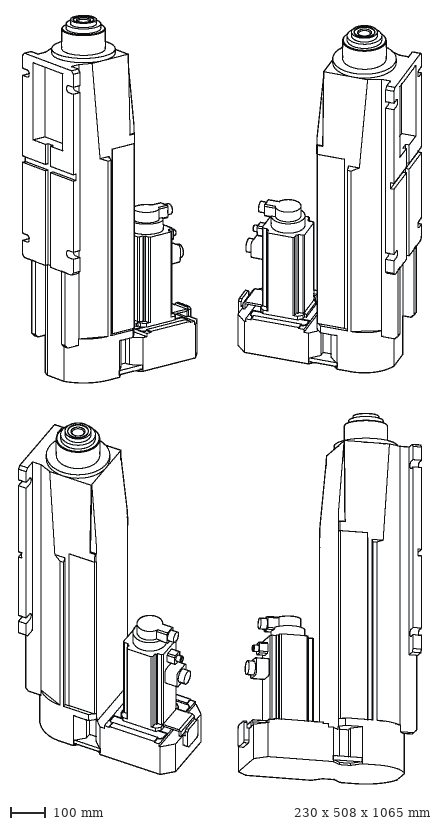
import cadquery as cq

total_height = 1065.0
body_top = 964.0
drum_top = 133.0
gearbox_top = 102.0
motor_base = 124.0
motor_top = 381.0

drum_radius = 111.0
drum_front = 104.0
drum_corner = 17.0

body_back = 111.0
body_back_top = 92.0
body_corner = 4.0
neck_half_width = 76.0
neck_front = 80.0
taper_foot = 673.0
taper_half_width_top = 92.0
taper_half_width_foot = 101.0
taper_runout = 11.0
back_slope_foot = 745.0
side_rib_back = 12.0
panel_front = 25.0
panel_top = 692.0
panel_half_width = 100.0
corner_step_foot = 721.0
corner_step_depth = 4.0

plate_width = 230.0
plate_front = 133.0
plate_thickness = 26.0
plate_bottom = 345.0
plate_corner = 9.0
groove_depth = 11.0
groove_width = 22.0
cross_groove_height = 19.0
cross_groove_z = 641.0
pocket_width = 132.0
pocket_bottom = 711.0
pocket_top = 945.0
pocket_depth = 44.0
slot_radius = 11.0
slot_length = 31.0
slot_levels = (406.0, 905.0)

leg_thickness = 17.0
leg_front = 131.0
leg_bottom = 114.0
leg_chamfer = 10.0

bushing_radius = 92.0
bushing_top = 977.0
rod_radius = 63.0
rod_edge = 2.0
rod_shoulder = 1038.0
collar_radius = 50.0
collar_top = 1052.0
tip_radius = 37.0
tip_recess_radius = 30.0
tip_recess_depth = 2.0
tip_hole_radius = 17.0
tip_hole_edge = 3.0
tip_hole_depth = 32.0

gearbox_half_width = 111.0
gearbox_back = 360.0
gearbox_back_corner = 33.0
waist_half_width = 83.0
waist_front = 44.0
waist_back = 131.0
waist_top = 111.0
waist_step_half_width = 64.0
shelf_bottom = 6.0
shelf_top = 19.0
shelf_inset = 3.0

seat_front = 145.0
seat_back = 324.0
seat_top = 112.0
rail_width = 21.0
rail_length = 147.0
rail_height = 3.0
seat_pocket_inner = 56.0
seat_pocket_margin = 3.0
seat_pocket_depth = 2.0
seat_pocket_corner = 9.0

motor_y = 234.0
motor_half_width = 65.0
motor_flange_corner = 12.0
groove_reach = 22.0
groove_mouth = 4.0
groove_inner_edge = 5.0
cap_radius = 49.0
cap_top = 412.0
encoder_radius = 37.0
encoder_top = 444.0

encoder_plug_half_width = 19.0
encoder_plug_back = 300.0
encoder_plug_edge = 4.0
encoder_socket_radius = 16.0
encoder_socket_back = 320.0
signal_z = 350.0
signal_half_width = 16.0
signal_edge = 4.0
signal_back = 324.0
signal_socket_radius = 10.0
signal_socket_back = 340.0
signal_socket_edge = 2.0
power_z = 291.0
power_width = 58.0
power_height = 52.0
power_edge = 10.0
power_back = 338.0
power_socket_radius = 20.0
power_socket_back = 357.0

strap_half_width = 42.0
strap_front = 163.0
strap_back = 358.0
strap_top = 126.0
strap_thickness = 6.0
tag_half_width = 32.0
tag_back = 375.0
tag_front = 366.0
tag_bottom = 60.0
tag_top = 125.0
tag_corner = 6.0


def centred_box(half_width, front, back, bottom, top):
    """A box centred on X = 0, from front to back along Y."""
    return cq.Workplane("XY").box(
        2 * half_width, back - front, top - bottom, centered=(True, False, False)
    ).translate((0, front, bottom))


def vertical_prism(points, bottom, top):
    """A plan outline raised from one level to another."""
    return cq.Workplane("XY", origin=(0, 0, bottom)).polyline(points).close().extrude(top - bottom)


def cylinder(radius, bottom, top, y=0.0):
    """An upright cylinder."""
    return cq.Workplane("XY", origin=(0, y, bottom)).circle(radius).extrude(top - bottom)


def both_sides(solid):
    """A solid together with its mirror image across X = 0."""
    return solid.union(solid.mirror("YZ"))


def mirrored_outline(right_half):
    """A closed outline from its right half, listed from front to back."""
    return right_half + [(-x, y) for x, y in reversed(right_half)]


def along_y(z, front):
    """A sketch plane square to Y, with its centre on X = 0."""
    return cq.Workplane("XZ", origin=(0, front, z))


def socket(radius, z, front, back):
    """A round connector end pointing backwards."""
    return along_y(z, front).circle(radius).extrude(front - back)



def make_drum(height):
    """The flat-fronted round foot, from Z = 0 up to a height."""
    flat_half_width = (drum_radius**2 - drum_front**2) ** 0.5
    bend = drum_radius * 0.5**0.5
    corner_y = body_back - drum_corner
    return (
        cq.Workplane("XY")
        .moveTo(-flat_half_width, -drum_front)
        .lineTo(flat_half_width, -drum_front)
        .threePointArc((bend, -bend), (drum_radius, 0))
        .lineTo(drum_radius, corner_y)
        .lineTo(drum_radius - drum_corner, body_back)
        .lineTo(drum_corner - drum_radius, body_back)
        .lineTo(-drum_radius, corner_y)
        .lineTo(-drum_radius, 0)
        .threePointArc((-bend, -bend), (-flat_half_width, -drum_front))
        .close()
        .extrude(height)
    )


def taper_cutter():
    """Slopes one side of the body inwards towards the top, for every Y."""
    outside = drum_radius + 11
    profile = [
        (taper_half_width_top, body_top),
        (taper_half_width_foot, taper_foot),
        (taper_half_width_foot + taper_runout, taper_foot - taper_runout),
        (outside, taper_foot - taper_runout),
        (outside, body_top),
    ]
    depth = plate_front + body_back
    return cq.Workplane("XZ", origin=(0, body_back, 0)).polyline(profile).close().extrude(depth)


def corner_step_cutter():
    """Sets the tapered side in along its back edge."""
    lean = (taper_half_width_foot - taper_half_width_top) / (body_top - taper_foot)
    foot_x = taper_half_width_top + lean * (body_top - corner_step_foot) - corner_step_depth
    profile = [
        (taper_half_width_top - corner_step_depth, body_top),
        (foot_x, corner_step_foot),
        (drum_radius, corner_step_foot),
        (drum_radius, body_top),
    ]
    depth = body_back - body_back_top
    return cq.Workplane("XZ", origin=(0, body_back, 0)).polyline(profile).close().extrude(depth)


def back_slope_cutter():
    """Leans the back of the body forwards towards the top."""
    profile = [(body_back, back_slope_foot), (body_back_top, body_top), (body_back, body_top)]
    return cq.Workplane("YZ").polyline(profile).close().extrude(drum_radius, both=True)


def make_tall_body():
    strip = taper_half_width_foot
    plan = mirrored_outline([
        (neck_half_width, -plate_front + plate_thickness),
        (neck_half_width, -neck_front),
        (drum_radius, 0),
        (drum_radius, side_rib_back),
        (strip, side_rib_back),
        (strip, body_back - body_corner),
        (strip - body_corner, body_back),
    ])
    body = vertical_prism(plan, drum_top, body_top)
    panel = vertical_prism(
        [
            (panel_half_width, panel_front),
            (strip, panel_front),
            (strip, body_back),
            (panel_half_width - body_corner, body_back),
            (panel_half_width, body_back - body_corner),
        ],
        drum_top,
        panel_top,
    )
    for cutter in (taper_cutter(), corner_step_cutter(), panel):
        body = body.cut(both_sides(cutter))
    return body.cut(back_slope_cutter())


def make_mounting_plate():
    height = body_top - plate_bottom
    middle_z = (body_top + plate_bottom) / 2
    plate = (
        along_y(middle_z, plate_thickness - plate_front)
        .rect(plate_width, height)
        .extrude(plate_thickness)
        .edges("|Y")
        .chamfer(plate_corner)
    )
    slot_centre = plate_width / 2 - slot_length + slot_radius
    for z in slot_levels:
        end = along_y(z, plate_thickness - plate_front).center(slot_centre, 0)
        slot = end.circle(slot_radius).extrude(plate_thickness)
        mouth = end.center(slot_length / 2, 0).rect(slot_length, 2 * slot_radius).extrude(plate_thickness)
        plate = plate.cut(both_sides(slot.union(mouth)))
    return plate


def plate_recess():
    """The pocket and the crossing grooves in the mounting face."""
    front = -plate_front
    pocket = centred_box(pocket_width / 2, front, front + pocket_depth, pocket_bottom, pocket_top)
    groove = centred_box(groove_width / 2, front, front + groove_depth, plate_bottom, pocket_bottom)
    cross_bottom = cross_groove_z - cross_groove_height / 2
    cross = centred_box(
        plate_width / 2, front, front + groove_depth, cross_bottom, cross_bottom + cross_groove_height
    )
    return pocket.union(groove).union(cross)


def make_legs():
    """Two ribs that run down in front of the drum."""
    profile = [
        (-neck_front, leg_bottom),
        (leg_chamfer - leg_front, leg_bottom),
        (-leg_front, leg_bottom + leg_chamfer),
        (-leg_front, plate_bottom),
        (-neck_front, plate_bottom),
    ]
    leg = (
        cq.Workplane("YZ", origin=(neck_half_width - leg_thickness, 0, 0))
        .polyline(profile)
        .close()
        .extrude(leg_thickness)
    )
    return both_sides(leg)


def leg_gap():
    """The space between the legs, in front of the drum's round outline."""
    inner = neck_half_width - leg_thickness
    return centred_box(inner, -plate_front, 0, drum_top, plate_bottom).cut(make_drum(plate_bottom))


def seat_pocket():
    """The shallow pocket beside the motor, with its outer corners cut off."""
    outer = gearbox_half_width - rail_width
    front = seat_front + seat_pocket_margin
    back = seat_back - seat_pocket_margin
    plan = [
        (seat_pocket_inner, front),
        (outer - seat_pocket_corner, front),
        (outer, front + seat_pocket_corner),
        (outer, back - seat_pocket_corner),
        (outer - seat_pocket_corner, back),
        (seat_pocket_inner, back),
    ]
    return vertical_prism(plan, seat_top - seat_pocket_depth, seat_top)


def make_gearbox():
    corner_y = gearbox_back - gearbox_back_corner
    plan = mirrored_outline([
        (gearbox_half_width, 0),
        (gearbox_half_width, corner_y),
        (gearbox_half_width - gearbox_back_corner, gearbox_back),
    ])
    box = vertical_prism(plan, 0, gearbox_top)
    seat_plan = mirrored_outline([
        (gearbox_half_width, seat_front),
        (gearbox_half_width, seat_back),
    ])
    seat = vertical_prism(seat_plan, gearbox_top, seat_top)
    rail = cq.Workplane("XY").box(rail_width, rail_length, rail_height, centered=(True, True, False))
    rail = rail.translate((gearbox_half_width - rail_width / 2, motor_y, seat_top))
    return box.union(seat).union(both_sides(rail)).cut(both_sides(seat_pocket()))


def waist_cutter():
    """The side recess between drum and gearbox, crossed by a thin shelf near the bottom."""
    depth = gearbox_half_width - waist_half_width
    wall_front = waist_front + depth
    wall_back = waist_back - depth
    flank_front = (gearbox_half_width, waist_front)
    flank_back = (gearbox_half_width, waist_back)
    corner_front = (waist_half_width, wall_front)
    corner_back = (waist_half_width, wall_back)
    step_front = (waist_step_half_width, wall_front)
    step_back = (waist_step_half_width, wall_back)
    lower = vertical_prism([flank_front, corner_front, corner_back, flank_back], 0, shelf_bottom)
    upper = vertical_prism(
        [flank_front, corner_front, step_front, step_back, corner_back, flank_back], shelf_top, waist_top
    )
    edge = gearbox_half_width - shelf_inset
    shelf_edge = vertical_prism(
        [flank_front, (edge, waist_front), (edge, waist_back), flank_back], shelf_bottom, shelf_top
    )
    return lower.union(upper).union(shelf_edge)


def make_motor():
    half = motor_half_width
    reach = half - groove_reach
    quarter = [
        (half, reach - groove_mouth),
        (half - groove_mouth, reach),
        (reach + groove_inner_edge, reach),
        (reach + groove_inner_edge, reach + groove_inner_edge),
        (reach, reach + groove_inner_edge),
        (reach, half - groove_mouth),
        (reach - groove_mouth, half),
    ]
    right_half = [(x, -y) for x, y in reversed(quarter)] + quarter
    plan = [(x, y + motor_y) for x, y in mirrored_outline(right_half)]
    body = vertical_prism(plan, motor_base, motor_top)
    flange = centred_box(half, motor_y - half, motor_y + half, seat_top, motor_base)
    flange = flange.edges("|Z").chamfer(motor_flange_corner)
    cap = cylinder(cap_radius, motor_top, cap_top, motor_y)
    encoder = cylinder(encoder_radius, cap_top, encoder_top, motor_y)
    return body.union(flange).union(cap).union(encoder)


def make_connectors():
    encoder_z = encoder_top - encoder_plug_half_width
    motor_back = motor_y + motor_half_width
    encoder_plug = (
        along_y(encoder_z, motor_y)
        .rect(2 * encoder_plug_half_width, 2 * encoder_plug_half_width)
        .extrude(motor_y - encoder_plug_back)
        .edges("|Y")
        .chamfer(encoder_plug_edge)
    )
    signal_plug = (
        along_y(signal_z, motor_back)
        .rect(2 * signal_half_width, 2 * signal_half_width)
        .extrude(motor_back - signal_back)
        .edges("|Y")
        .chamfer(signal_edge)
    )
    signal_socket = socket(signal_socket_radius, signal_z, signal_back, signal_socket_back)
    signal_socket = signal_socket.faces(">Y").chamfer(signal_socket_edge)
    power_plug = (
        along_y(power_z, motor_back)
        .rect(power_width, power_height)
        .extrude(motor_back - power_back)
        .edges("|Y")
        .fillet(power_edge)
    )
    return (
        encoder_plug
        .union(socket(encoder_socket_radius, encoder_z, encoder_plug_back, encoder_socket_back))
        .union(signal_plug)
        .union(signal_socket)
        .union(power_plug)
        .union(socket(power_socket_radius, power_z, power_back, power_socket_back))
    )


def make_strap():
    """A bent sheet that passes under the motor and down onto the gearbox."""
    under = strap_top - strap_thickness
    profile = [
        (strap_front, seat_top),
        (strap_front, under),
        (strap_front + strap_thickness, strap_top),
        (strap_back - strap_thickness, strap_top),
        (strap_back, under),
        (strap_back, gearbox_top),
        (strap_back - strap_thickness, gearbox_top),
        (strap_back - strap_thickness, under),
        (motor_y, under),
        (motor_y, seat_top),
    ]
    return cq.Workplane("YZ").polyline(profile).close().extrude(strap_half_width, both=True)


def make_tag():
    """An eight-sided plate on the back of the gearbox, standing above its top edge."""
    middle_z = (tag_bottom + tag_top) / 2
    tag = (
        along_y(middle_z, gearbox_back)
        .rect(2 * tag_half_width, tag_top - tag_bottom)
        .extrude(gearbox_back - tag_back)
        .edges("|Y")
        .chamfer(tag_corner)
    )
    return tag.cut(centred_box(tag_half_width, gearbox_back, tag_front, gearbox_top, tag_top))


def make_housing():
    housing = make_drum(drum_top).union(make_gearbox()).cut(both_sides(waist_cutter()))
    housing = housing.union(make_tall_body()).union(make_mounting_plate()).cut(plate_recess())
    housing = housing.union(make_legs()).cut(leg_gap())
    housing = housing.union(cylinder(bushing_radius, body_top, bushing_top))
    for piece in (make_motor(), make_connectors(), make_strap(), make_tag()):
        housing = housing.union(piece)
    return housing



def make_rod():
    """The stepped rod end that stands on the bushing, turned from its half section."""
    recess_floor = total_height - tip_recess_depth
    hole_floor = total_height - tip_hole_depth
    section = [
        (0, bushing_top),
        (rod_radius, bushing_top),
        (rod_radius, rod_shoulder - rod_edge),
        (rod_radius - rod_edge, rod_shoulder),
        (collar_radius, rod_shoulder),
        (collar_radius, collar_top),
        (tip_radius, collar_top),
        (tip_radius, total_height),
        (tip_recess_radius, total_height),
        (tip_recess_radius, recess_floor),
        (tip_hole_radius + tip_hole_edge, recess_floor),
        (tip_hole_radius, recess_floor - tip_hole_edge),
        (tip_hole_radius, hole_floor),
        (0, hole_floor),
    ]
    return cq.Workplane("XZ").polyline(section).close().revolve(360, (0, 0, 0), (0, 1, 0))


housing = make_housing()
rod = make_rod()

result = cq.Compound.makeCompound([housing.val(), rod.val()])